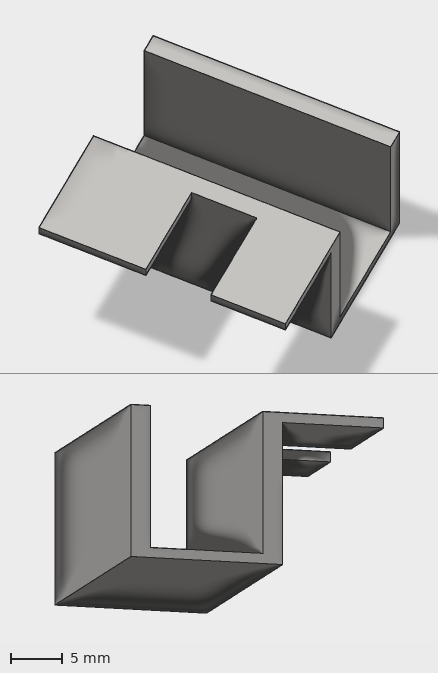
import cadquery as cq

length = 26.52
depth = 25.5
height = 15.0

wall_thickness = 2.0
floor_thickness = 1.0
channel_width = 11.3

flange_thickness = 1.0

notch_start = 11.52
notch_width = 7.0

back_wall_inner = depth - wall_thickness
front_wall_inner = back_wall_inner - channel_width
front_wall_outer = front_wall_inner - wall_thickness


def channel_with_flange():
    """Constant YZ section extruded along X."""
    section = [
        (0, height),
        (0, height - flange_thickness),
        (front_wall_outer, height - flange_thickness),
        (front_wall_outer, 0),
        (depth, 0),
        (depth, height),
        (back_wall_inner, height),
        (back_wall_inner, floor_thickness),
        (front_wall_inner, floor_thickness),
        (front_wall_inner, height),
    ]
    return cq.Workplane("YZ").polyline(section).close().extrude(length)


def flange_notch():
    """Block removed from the flange, open at its free edge."""
    return cq.Workplane("XY").box(
        notch_width, front_wall_outer, height, centered=False
    ).translate((notch_start, 0, 0))


result = channel_with_flange().cut(flange_notch())